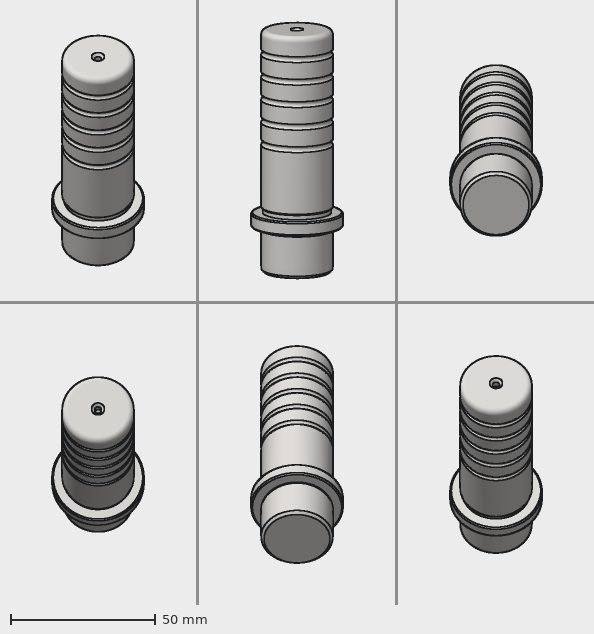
import cadquery as cq
import math

length = 86.0
body_diameter = 25.0
body_radius = body_diameter / 2
top_round = 2.0

flange_radius = 16.0
flange_bottom = 16.0
flange_top = 21.0
flange_chamfer = 0.5
neck_radius = 11.95
neck_chamfer = body_radius - neck_radius
upper_neck_top = 23.05
lower_neck_bottom = 15.0

end_chamfer = 1.0
taper_top = 3.0
taper_inset = 0.04
lead_radius = body_radius - taper_inset

groove_count = 5
groove_pitch = 8.0
groove_depth = 0.8
groove_half_width = 1.0

hole_radius = 1.2
countersink_radius = 2.2
countersink_angle = 90.0
pilot_length = 2.6
drill_tip_angle = 118.0


def cone_height(radius_change, included_angle):
    return radius_change / math.tan(math.radians(included_angle / 2))


def make_body():
    profile = (
        cq.Workplane("XZ")
        .lineTo(lead_radius - end_chamfer, 0)
        .lineTo(lead_radius, end_chamfer)
        .lineTo(body_radius, taper_top)
        .lineTo(body_radius, lower_neck_bottom)
        .lineTo(neck_radius, lower_neck_bottom + neck_chamfer)
        .lineTo(neck_radius, flange_bottom)
        .lineTo(flange_radius - flange_chamfer, flange_bottom)
        .lineTo(flange_radius, flange_bottom + flange_chamfer)
        .lineTo(flange_radius, flange_top - flange_chamfer)
        .lineTo(flange_radius - flange_chamfer, flange_top)
        .lineTo(neck_radius, flange_top)
        .lineTo(neck_radius, upper_neck_top - neck_chamfer)
        .lineTo(body_radius, upper_neck_top)
        .lineTo(body_radius, length)
        .lineTo(0, length)
        .close()
    )
    body = profile.revolve(360, (0, 0), (0, 1))
    return body.faces(">Z").edges().fillet(top_round)


def make_groove(center_z):
    profile = (
        cq.Workplane("XZ")
        .moveTo(body_radius, center_z - groove_half_width)
        .threePointArc(
            (body_radius - groove_depth, center_z),
            (body_radius, center_z + groove_half_width),
        )
    )
    return profile.close().revolve(360, (0, 0), (0, 1))


def make_center_hole():
    pilot_top = length - cone_height(countersink_radius - hole_radius, countersink_angle)
    pilot_bottom = pilot_top - pilot_length
    tip = pilot_bottom - cone_height(hole_radius, drill_tip_angle)
    profile = cq.Workplane("XZ").polyline([
        (0, length),
        (countersink_radius, length),
        (hole_radius, pilot_top),
        (hole_radius, pilot_bottom),
        (0, tip),
    ])
    return profile.close().revolve(360, (0, 0), (0, 1))


result = make_body().cut(make_center_hole())
for index in range(1, groove_count + 1):
    result = result.cut(make_groove(length - index * groove_pitch))